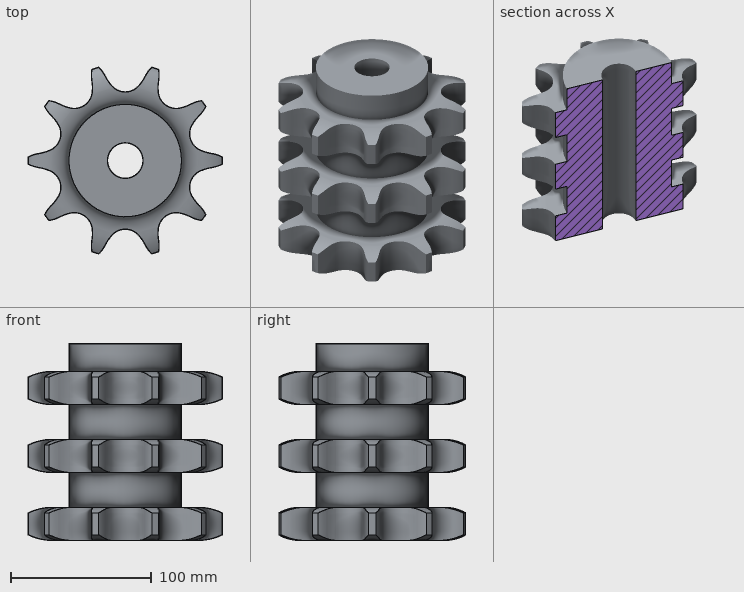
import cadquery as cq
import math

TEETH = 10
CHAIN_PITCH = 38.1
ROLLER_DIAMETER = 25.3
TIP_DIAMETER = 138.0

ROWS = 3
ROW_SPACING = 48.3
ROW_WIDTH = 23.7

HUB_DIAMETER = 80.0
HUB_LENGTH = 140.0
BORE_DIAMETER = 25.0

RELIEF_DEPTH = 4.0
RELIEF_RADIUS = 38.1

HALF_TOOTH_ANGLE = math.pi / TEETH
PITCH_RADIUS = CHAIN_PITCH / 2 / math.sin(HALF_TOOTH_ANGLE)
TIP_RADIUS = TIP_DIAMETER / 2

SEATING_RADIUS = 0.5025 * ROLLER_DIAMETER
WORKING_CENTRE_DISTANCE = 0.8 * ROLLER_DIAMETER
TOPPING_CENTRE_DISTANCE = 1.4 * ROLLER_DIAMETER
WORKING_RADIUS = SEATING_RADIUS + WORKING_CENTRE_DISTANCE
SEATING_ANGLE = math.radians(35 + 60 / TEETH)
WORKING_ANGLE = math.radians(18 - 56 / TEETH)


def polar(centre, radius, angle):
    """Point at a radius and angle from a centre."""
    return (centre[0] + radius * math.cos(angle), centre[1] + radius * math.sin(angle))


def tip_circle_crossing(centre, radius):
    """Clockwise point where a circle around the given centre crosses the tip circle."""
    distance = math.hypot(*centre)
    cosine = (TIP_RADIUS**2 + distance**2 - radius**2) / (2 * TIP_RADIUS * distance)
    return polar((0, 0), TIP_RADIUS, math.atan2(centre[1], centre[0]) - math.acos(cosine))


def gap_cutter():
    """Tooth gap centred on +Y: seating arc, working arcs, straight flanks and topping arcs."""
    seat = (0, PITCH_RADIUS)
    working_centre = polar(seat, WORKING_CENTRE_DISTANCE, SEATING_ANGLE)
    topping_centre = polar(seat, TOPPING_CENTRE_DISTANCE, math.pi + HALF_TOOTH_ANGLE)

    seat_end_angle = math.pi + SEATING_ANGLE
    flank_angle = seat_end_angle - WORKING_ANGLE
    seat_end = polar(seat, SEATING_RADIUS, seat_end_angle)
    working_middle = polar(working_centre, WORKING_RADIUS, seat_end_angle - WORKING_ANGLE / 2)
    working_end = polar(working_centre, WORKING_RADIUS, flank_angle)

    centre_offset = (topping_centre[0] - working_centre[0], topping_centre[1] - working_centre[1])
    topping_radius = (
        centre_offset[0] * math.cos(flank_angle) + centre_offset[1] * math.sin(flank_angle) - WORKING_RADIUS
    )
    topping_start_angle = flank_angle - math.pi
    topping_start = polar(topping_centre, topping_radius, topping_start_angle)
    tip = tip_circle_crossing(topping_centre, topping_radius)
    tip_angle = math.atan2(tip[1] - topping_centre[1], tip[0] - topping_centre[0])
    topping_middle = polar(topping_centre, topping_radius, (topping_start_angle + tip_angle) / 2)

    beyond_tips = PITCH_RADIUS + ROLLER_DIAMETER

    def mirrored(point):
        return (-point[0], point[1])

    return (
        cq.Workplane("XY")
        .moveTo(*tip)
        .threePointArc(topping_middle, topping_start)
        .lineTo(*working_end)
        .threePointArc(working_middle, seat_end)
        .threePointArc((0, PITCH_RADIUS - SEATING_RADIUS), mirrored(seat_end))
        .threePointArc(mirrored(working_middle), mirrored(working_end))
        .lineTo(*mirrored(topping_start))
        .threePointArc(mirrored(topping_middle), mirrored(tip))
        .lineTo(-tip[0], beyond_tips)
        .lineTo(tip[0], beyond_tips)
        .close()
        .extrude(ROW_WIDTH)
    )


def relieved_disc():
    """Toothless disc whose rim curves in towards the tips on both faces."""
    relief_angle = math.acos(1 - RELIEF_DEPTH / RELIEF_RADIUS)
    relief_start = TIP_RADIUS - RELIEF_RADIUS * math.sin(relief_angle)
    middle_radius = relief_start + RELIEF_RADIUS * math.sin(relief_angle / 2)
    middle_depth = RELIEF_RADIUS * (1 - math.cos(relief_angle / 2))
    return (
        cq.Workplane("XZ")
        .lineTo(relief_start, 0)
        .threePointArc((middle_radius, middle_depth), (TIP_RADIUS, RELIEF_DEPTH))
        .lineTo(TIP_RADIUS, ROW_WIDTH - RELIEF_DEPTH)
        .threePointArc((middle_radius, ROW_WIDTH - middle_depth), (relief_start, ROW_WIDTH))
        .lineTo(0, ROW_WIDTH)
        .close()
        .revolve(360, (0, 0), (0, 1))
    )


def tooth_row():
    """One row of teeth, with a tooth centred on +X."""
    row = relieved_disc()
    gap = gap_cutter()
    for index in range(TEETH):
        row = row.cut(gap.rotate((0, 0, 0), (0, 0, 1), index * 360 / TEETH))
    return row


def hub():
    """Plain cylinder that carries the rows and stands above the top one."""
    return cq.Workplane("XY").circle(HUB_DIAMETER / 2).extrude(HUB_LENGTH)


def bore():
    """Through hole along the axis."""
    return cq.Workplane("XY").circle(BORE_DIAMETER / 2).extrude(HUB_LENGTH)


sprocket = hub()
teeth = tooth_row()
for row_index in range(ROWS):
    sprocket = sprocket.union(teeth.translate((0, 0, row_index * ROW_SPACING)))

result = sprocket.cut(bore())